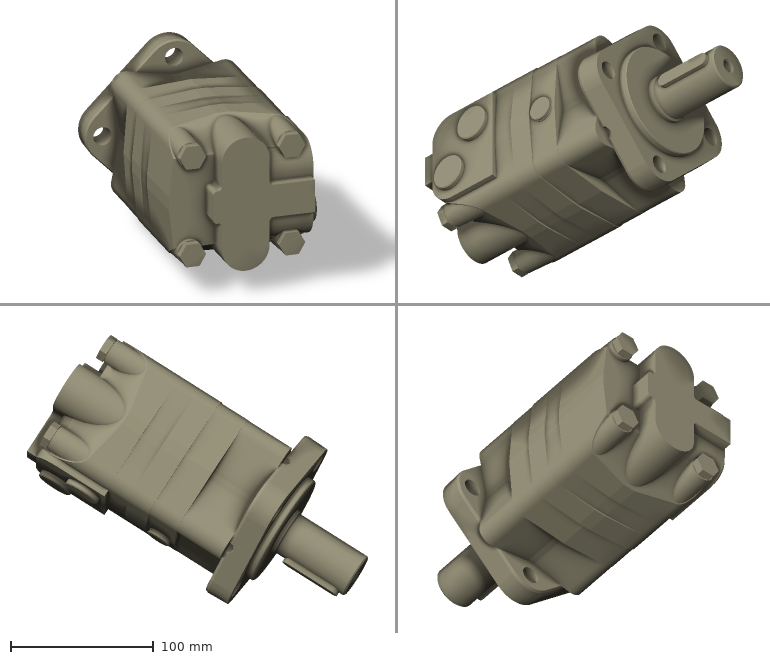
import cadquery as cq
import math


COLLAR_START = 56.0
PILOT_START = 59.9
FLANGE_START = 65.7
FLANGE_RIM = 81.5
FLANGE_END = 83.8
LEGS_END = 120.0
HOUSING_END = 142.7
GEAR_END = 160.0
PLATE_END = 176.0
COVER_FACE = 224.7
BOLT_SEAT = 228.0
MOTOR_END = 241.5

SHAFT_DIAMETER = 32.0
SHAFT_CHAMFER = 1.0
COLLAR_DIAMETER = 35.0
COLLAR_CONE_LENGTH = 1.0
SHOULDER_DIAMETER = 42.0
CENTRE_MOUTH_DIAMETER = 10.9
CENTRE_RECESS_DIAMETER = 8.5
CENTRE_DRILL_DIAMETER = 6.8
CENTRE_RECESS_DEPTH = 3.5
CENTRE_DRILL_DEPTH = 17.0
DRILL_POINT_ANGLE = 118
KEY_START = 4.0
KEY_LENGTH = 45.1
KEY_WIDTH = 10.0
KEY_HEIGHT = 8.0
KEY_TOP = 19.3

PILOT_DIAMETER = 82.3
PILOT_CHAMFER = 0.7
FLANGE_REACH = 65.7
FLANGE_CORNER_RADIUS = 20.8
FLANGE_DRAFT = 2.2
FLANGE_BACK_BEVEL = 21
MOUNT_HOLE_OFFSET = 53.0
MOUNT_HOLE_DIAMETER = 13.5

BOLT_OFFSET = 36.7
CORNER_RADIUS = 22.0 / 2
HOUSING_CORNER_RADIUS = 10.5
LEG_RADIUS = 10.1
WAIST_HEIGHT = 40.3
WAIST_HALF_STRIP = 2.7
RIDGE_HALF_STRIP = 4.8
LOW_RIDGE = 49.7
HIGH_RIDGE = 51.2

DRAIN_X = 131.5
DRAIN_DIAMETER = 18.0
DRAIN_GROOVE_DIAMETER = 17.0
DRAIN_GROOVE_START = 50.0
DRAIN_CAP_START = 51.5
DRAIN_TOP = 52.9
DRAIN_CHAMFER = 0.5

SLOPE_START = 192.0
SLOPE_END_HEIGHT = 33.8
BOLT_BOSS_DIAMETER = 18.5
BOLT_BOSS_DRAFT = 2.5
REAR_BOSS_RADIUS = 17.6
REAR_BOSS_OFFSET = 32.3
WING_HALF_HEIGHT = 12.0
WING_NEAR_END = -24.1
WING_FILLET = 3.0
PAD_TOP = 52.9
PAD_HALF_HEIGHT = 36.0
PAD_END_RADIUS = 17.9
PORT_DIAMETER = 26.0
PORT_TOP = 57.2
PORT_CHAMFER = 0.7
PORT_OFFSET = 16.0
PORT_SPACING = 22.2
REAR_PORT_X = 215.0

BOLT_DIAMETER = 10.0
TAP_DRILL_DIAMETER = 8.5
TAP_DRILL_OVERRUN = 3.0
BOLT_COLLAR_DIAMETER = 16.0
BOLT_COLLAR_LENGTH = 0.7
BOLT_HEAD_FLATS = 17.0
BOLT_HEAD_CORNERS = BOLT_HEAD_FLATS / math.cos(math.radians(30))
BOLT_HEAD_END = 234.2

BOLT_PLACES = [(y, z) for y in (-BOLT_OFFSET, BOLT_OFFSET) for z in (-BOLT_OFFSET, BOLT_OFFSET)]


def cross_plane(x):
    """Workplane across the motor axis, with local axes Y and Z."""
    return cq.Workplane("YZ", origin=(x, 0, 0))


def side_plane(y):
    """Workplane facing +Y, with local axes X and -Z."""
    return cq.Workplane("XZ", origin=(0, y, 0)).transformed(rotate=(180, 0, 0))


def disc(diameter, start, end):
    return cross_plane(start).circle(diameter / 2).extrude(end - start)


def drill_point_length(diameter):
    return diameter / 2 / math.tan(math.radians(DRILL_POINT_ANGLE / 2))


def quarter_turned(y, z, quarters):
    """The point turned clockwise about the motor axis by a number of quarter turns."""
    for _ in range(quarters):
        y, z = z, -y
    return y, z


def section_block(start, end, ridge, half_strip, corner_radius):
    """Prism with panels running from the middle of each side tangent into the bolt corners.

    The middle is a flat strip, or a sharp ridge where the strip has no width.
    """
    strip_y = half_strip - BOLT_OFFSET
    strip_z = ridge - BOLT_OFFSET
    strip_distance = math.hypot(strip_y, strip_z)
    tangent_angle = math.atan2(strip_z, strip_y) - math.acos(corner_radius / strip_distance)
    tangent_y = BOLT_OFFSET + corner_radius * math.cos(tangent_angle)
    tangent_z = BOLT_OFFSET + corner_radius * math.sin(tangent_angle)
    corner = BOLT_OFFSET + corner_radius * math.sqrt(0.5)

    outline = cross_plane(start).moveTo(-half_strip, ridge)
    for quarter in range(4):
        if half_strip > 0:
            outline = outline.lineTo(*quarter_turned(half_strip, ridge, quarter))
        outline = outline.lineTo(*quarter_turned(tangent_y, tangent_z, quarter))
        outline = outline.threePointArc(
            quarter_turned(corner, corner, quarter),
            quarter_turned(tangent_z, tangent_y, quarter),
        )
        if quarter < 3:
            outline = outline.lineTo(*quarter_turned(ridge, half_strip, quarter))
    return outline.close().extrude(end - start)


def cut_bolt_holes(body, start, end):
    holes = cross_plane(start).pushPoints(BOLT_PLACES).circle(BOLT_DIAMETER / 2).extrude(end - start)
    return body.cut(holes)


def make_key():
    centre_x = KEY_START + KEY_LENGTH / 2
    return (
        side_plane(KEY_TOP - KEY_HEIGHT)
        .center(centre_x, 0)
        .slot2D(KEY_LENGTH, KEY_WIDTH)
        .extrude(KEY_HEIGHT)
    )


def make_shaft(key):
    radius = SHAFT_DIAMETER / 2
    collar_radius = COLLAR_DIAMETER / 2
    shoulder_radius = SHOULDER_DIAMETER / 2
    drill_radius = CENTRE_DRILL_DIAMETER / 2
    recess_radius = CENTRE_RECESS_DIAMETER / 2
    mouth_radius = CENTRE_MOUTH_DIAMETER / 2
    outline = [
        (CENTRE_DRILL_DEPTH + drill_point_length(CENTRE_DRILL_DIAMETER), 0),
        (CENTRE_DRILL_DEPTH, drill_radius),
        (CENTRE_RECESS_DEPTH + recess_radius - drill_radius, drill_radius),
        (CENTRE_RECESS_DEPTH, recess_radius),
        (mouth_radius - recess_radius, recess_radius),
        (0, mouth_radius),
        (0, radius - SHAFT_CHAMFER),
        (SHAFT_CHAMFER, radius),
        (COLLAR_START, radius),
        (COLLAR_START + COLLAR_CONE_LENGTH, collar_radius),
        (PILOT_START, collar_radius),
        (PILOT_START, shoulder_radius),
        (FLANGE_END, shoulder_radius),
        (FLANGE_END, 0),
    ]
    shaft = cq.Workplane("XY").polyline(outline).close().revolve(360, (0, 0, 0), (1, 0, 0))
    return shaft.cut(key)


def flange_outline(x):
    """Square standing on a corner, with all four corners rounded."""
    centre = FLANGE_REACH - FLANGE_CORNER_RADIUS
    side = centre * math.sqrt(2) + 2 * FLANGE_CORNER_RADIUS
    sketch = cq.Sketch().rect(side, side, angle=45).vertices().fillet(FLANGE_CORNER_RADIUS)
    return cross_plane(x).placeSketch(sketch)


def make_flange():
    front_length = FLANGE_RIM - FLANGE_START
    front = flange_outline(0).extrude(front_length, taper=FLANGE_DRAFT)
    front = front.mirror("YZ").translate((FLANGE_RIM, 0, 0))
    back = flange_outline(FLANGE_RIM).extrude(FLANGE_END - FLANGE_RIM, taper=FLANGE_BACK_BEVEL)
    pilot = disc(PILOT_DIAMETER, PILOT_START, FLANGE_START).faces("<X").chamfer(PILOT_CHAMFER)
    mount_holes = (
        cross_plane(FLANGE_START)
        .polarArray(MOUNT_HOLE_OFFSET, 0, 360, 4)
        .circle(MOUNT_HOLE_DIAMETER / 2)
        .extrude(FLANGE_END - FLANGE_START)
    )
    return front.union(back).union(pilot).cut(mount_holes)


def make_tap_drill(y, z):
    """Blind drilling that runs on from a bolt hole into the back of the flange."""
    radius = TAP_DRILL_DIAMETER / 2
    bottom = FLANGE_END - TAP_DRILL_OVERRUN
    tip = bottom - drill_point_length(TAP_DRILL_DIAMETER)
    outline = [(tip, 0), (bottom, radius), (FLANGE_END, radius), (FLANGE_END, 0)]
    drill = cq.Workplane("XY").polyline(outline).close().revolve(360, (0, 0, 0), (1, 0, 0))
    return drill.translate((0, y, z))


def make_drain_boss():
    """Round boss with a shallow groove below its bevelled cap."""
    drain_plane = side_plane(0).center(DRAIN_X, 0)
    cap_plane = side_plane(DRAIN_CAP_START).center(DRAIN_X, 0)
    core = drain_plane.circle(DRAIN_GROOVE_DIAMETER / 2).extrude(DRAIN_CAP_START)
    base = drain_plane.circle(DRAIN_DIAMETER / 2).extrude(DRAIN_GROOVE_START)
    cap = cap_plane.circle(DRAIN_DIAMETER / 2).extrude(DRAIN_TOP - DRAIN_CAP_START)
    return core.union(base).union(cap.faces(">Y").chamfer(DRAIN_CHAMFER))


def make_housing():
    legs = section_block(FLANGE_END, LEGS_END, WAIST_HEIGHT, WAIST_HALF_STRIP, LEG_RADIUS)
    rear = section_block(LEGS_END, HOUSING_END, LOW_RIDGE, 0, HOUSING_CORNER_RADIUS)
    housing = make_flange().union(legs).union(rear).union(make_drain_boss())
    housing = housing.cut(disc(SHOULDER_DIAMETER, PILOT_START, FLANGE_END))
    housing = cut_bolt_holes(housing, FLANGE_END, HOUSING_END)
    for y, z in BOLT_PLACES:
        housing = housing.cut(make_tap_drill(y, z))
    return housing


def make_gear_set():
    gear_set = section_block(HOUSING_END, GEAR_END, HIGH_RIDGE, RIDGE_HALF_STRIP, CORNER_RADIUS)
    return cut_bolt_holes(gear_set, HOUSING_END, GEAR_END)


def make_spacer_plate():
    plate = section_block(GEAR_END, PLATE_END, LOW_RIDGE, RIDGE_HALF_STRIP, CORNER_RADIUS)
    return cut_bolt_holes(plate, GEAR_END, PLATE_END)


def make_cover_block():
    """Main block, sloped off at the rear above and below."""
    block = section_block(PLATE_END, COVER_FACE, HIGH_RIDGE, RIDGE_HALF_STRIP, CORNER_RADIUS)
    side_outline = [
        (PLATE_END, HIGH_RIDGE),
        (SLOPE_START, HIGH_RIDGE),
        (COVER_FACE, SLOPE_END_HEIGHT),
        (COVER_FACE, -SLOPE_END_HEIGHT),
        (SLOPE_START, -HIGH_RIDGE),
        (PLATE_END, -HIGH_RIDGE),
    ]
    envelope = cq.Workplane("XZ").polyline(side_outline).close().extrude(HIGH_RIDGE, both=True)
    return block.intersect(envelope)


def make_rear_boss():
    """Upright round-ended boss, crossed by a wing that reaches the port side."""
    length = MOTOR_END - PLATE_END
    upright = (
        cross_plane(PLATE_END)
        .slot2D(2 * (REAR_BOSS_OFFSET + REAR_BOSS_RADIUS), 2 * REAR_BOSS_RADIUS, 90)
        .extrude(length)
    )
    wing_length = HIGH_RIDGE - WING_NEAR_END
    wing = (
        cross_plane(PLATE_END)
        .center(WING_NEAR_END + wing_length / 2, 0)
        .rect(wing_length, 2 * WING_HALF_HEIGHT)
        .extrude(length)
        .edges("|X and <Y")
        .fillet(WING_FILLET)
    )
    root_reach = REAR_BOSS_RADIUS + WING_FILLET / 2
    corner_finder = cq.selectors.BoxSelector(
        (PLATE_END, -root_reach, -WING_HALF_HEIGHT - WING_FILLET / 2),
        (MOTOR_END, root_reach, WING_HALF_HEIGHT + WING_FILLET / 2),
    )
    return upright.union(wing).edges("|X").edges(corner_finder).fillet(WING_FILLET)


def make_port_pad():
    """Pad with rounded rear corners that carries the two port bosses."""
    length = REAR_PORT_X + PAD_END_RADIUS - PLATE_END
    return (
        side_plane(0)
        .center(PLATE_END + length / 2, 0)
        .rect(length, 2 * PAD_HALF_HEIGHT)
        .extrude(PAD_TOP)
        .edges("|Y and >X")
        .fillet(PAD_END_RADIUS)
    )


def make_port_boss(x, z):
    boss = cq.Workplane("XY").circle(PORT_DIAMETER / 2).extrude(PORT_TOP - PAD_TOP)
    boss = boss.faces(">Z").chamfer(PORT_CHAMFER)
    return boss.rotate((0, 0, 0), (1, 0, 0), -90).translate((x, PAD_TOP, z))


def make_bolt_boss(y, z):
    """Boss that widens forwards from the bolt seat into the corner of the cover."""
    length = BOLT_SEAT - SLOPE_START
    seat_radius = BOLT_BOSS_DIAMETER / 2
    front_radius = seat_radius + length * math.tan(math.radians(BOLT_BOSS_DRAFT))
    boss = cq.Solid.makeCone(front_radius, seat_radius, length, dir=cq.Vector(1, 0, 0))
    return boss.translate(cq.Vector(SLOPE_START, y, z))


def make_cover():
    cover = make_cover_block().union(make_rear_boss()).union(make_port_pad())
    cover = cover.union(make_port_boss(REAR_PORT_X, -PORT_OFFSET))
    cover = cover.union(make_port_boss(REAR_PORT_X - PORT_SPACING, PORT_OFFSET))
    for y, z in BOLT_PLACES:
        cover = cover.union(make_bolt_boss(y, z))
    clearance = disc(BOLT_HEAD_CORNERS, BOLT_SEAT, MOTOR_END)
    for y, z in BOLT_PLACES:
        cover = cover.cut(clearance.translate((0, y, z)))
    return cut_bolt_holes(cover, PLATE_END, BOLT_SEAT)


def make_bolt(y, z):
    head_start = BOLT_SEAT + BOLT_COLLAR_LENGTH
    shank = disc(BOLT_DIAMETER, FLANGE_END, BOLT_SEAT)
    collar = disc(BOLT_COLLAR_DIAMETER, BOLT_SEAT, head_start)
    head = cross_plane(head_start).polygon(6, BOLT_HEAD_CORNERS).extrude(BOLT_HEAD_END - head_start)
    return shank.union(collar).union(head).translate((0, y, z))


key = make_key()
shaft = make_shaft(key)
housing = make_housing()
gear_set = make_gear_set()
spacer_plate = make_spacer_plate()
cover = make_cover()
bolts = [make_bolt(y, z) for y, z in BOLT_PLACES]

result = cq.Compound.makeCompound(
    [
        shaft.val(),
        key.val(),
        housing.val(),
        gear_set.val(),
        spacer_plate.val(),
        cover.val(),
        *[bolt.val() for bolt in bolts],
    ]
)